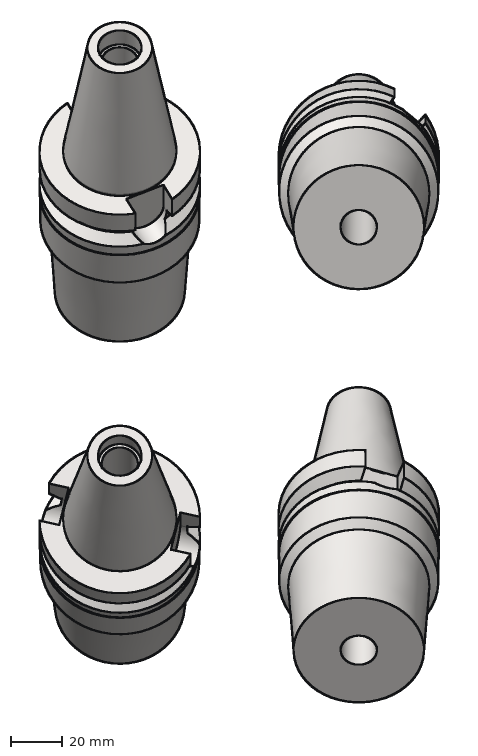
import cadquery as cq
import math

GAUGE_Z = 90.0
TAPER_LENGTH = 65.4
GAUGE_TO_FLANGE_TOP = 1.0
GAUGE_TO_FLANGE_BOTTOM = 27.0
GAUGE_TO_GROOVE_CENTER = 16.6
TOP_Z = GAUGE_Z + TAPER_LENGTH
FLANGE_TOP_Z = GAUGE_Z - GAUGE_TO_FLANGE_TOP
FLANGE_BOTTOM_Z = GAUGE_Z - GAUGE_TO_FLANGE_BOTTOM
GROOVE_CENTER_Z = GAUGE_Z - GAUGE_TO_GROOVE_CENTER

GAUGE_RADIUS = 44.45 / 2
TAPER_RATIO = 7 / 24
SHANK_TOP_RADIUS = GAUGE_RADIUS - TAPER_LENGTH * TAPER_RATIO / 2

FLANGE_RADIUS = 63.0 / 2
GROOVE_ROOT_RADIUS = 53.2 / 2
GROOVE_ROOT_HALF_WIDTH = 2.1
GROOVE_WALL_ANGLE = math.radians(30)
GROOVE_WALL_RISE = (FLANGE_RADIUS - GROOVE_ROOT_RADIUS) * math.tan(GROOVE_WALL_ANGLE)
GROOVE_MOUTH_HALF_WIDTH = GROOVE_ROOT_HALF_WIDTH + GROOVE_WALL_RISE

BODY_RADIUS = 62.5 / 2
BODY_BOTTOM_Z = 45.2
NOSE_TOP_Z = 42.0
NOSE_TOP_RADIUS = 55.4 / 2
NOSE_BOTTOM_RADIUS = 51.2 / 2

BORE_RADIUS = 14.2 / 2
COUNTERBORE_RADIUS = 17.0 / 2
COUNTERBORE_DEPTH = 9.0

SLOT_WIDTH = 16.1
SLOT_DEPTH = 22.0
SLOT_FLOOR_X = 22.5


def make_outer_body():
    """Shank, flange, body and nose turned about Z."""
    profile = [
        (0, 0),
        (NOSE_BOTTOM_RADIUS, 0),
        (NOSE_TOP_RADIUS, NOSE_TOP_Z),
        (BODY_RADIUS, BODY_BOTTOM_Z),
        (BODY_RADIUS, FLANGE_BOTTOM_Z),
        (FLANGE_RADIUS, FLANGE_BOTTOM_Z),
        (FLANGE_RADIUS, GROOVE_CENTER_Z - GROOVE_MOUTH_HALF_WIDTH),
        (GROOVE_ROOT_RADIUS, GROOVE_CENTER_Z - GROOVE_ROOT_HALF_WIDTH),
        (GROOVE_ROOT_RADIUS, GROOVE_CENTER_Z + GROOVE_ROOT_HALF_WIDTH),
        (FLANGE_RADIUS, GROOVE_CENTER_Z + GROOVE_MOUTH_HALF_WIDTH),
        (FLANGE_RADIUS, FLANGE_TOP_Z),
        (GAUGE_RADIUS, FLANGE_TOP_Z),
        (GAUGE_RADIUS, GAUGE_Z),
        (SHANK_TOP_RADIUS, TOP_Z),
        (0, TOP_Z),
    ]
    return cq.Workplane("YZ").polyline(profile).close().revolve(360, (0, 0), (0, 1))


def make_bore():
    """Through bore with a wider counterbore at the small end of the shank."""
    bore = cq.Workplane("XY").circle(BORE_RADIUS).extrude(TOP_Z)
    counterbore = (
        cq.Workplane("XY")
        .workplane(offset=TOP_Z - COUNTERBORE_DEPTH)
        .circle(COUNTERBORE_RADIUS)
        .extrude(COUNTERBORE_DEPTH)
    )
    return bore.union(counterbore)


def make_drive_slot(side):
    """Cutter for the slot on the +X (side = 1) or -X (side = -1) flank, reaching past the rim."""
    half_width = SLOT_WIDTH / 2
    arc_center_z = FLANGE_TOP_Z - SLOT_DEPTH + half_width
    return (
        cq.Workplane("YZ")
        .workplane(offset=side * SLOT_FLOOR_X)
        .moveTo(-half_width, FLANGE_TOP_Z)
        .lineTo(-half_width, arc_center_z)
        .threePointArc((0, FLANGE_TOP_Z - SLOT_DEPTH), (half_width, arc_center_z))
        .lineTo(half_width, FLANGE_TOP_Z)
        .close()
        .extrude(side * FLANGE_RADIUS)
    )


result = make_outer_body().cut(make_bore())
for slot_side in (-1, 1):
    result = result.cut(make_drive_slot(slot_side))